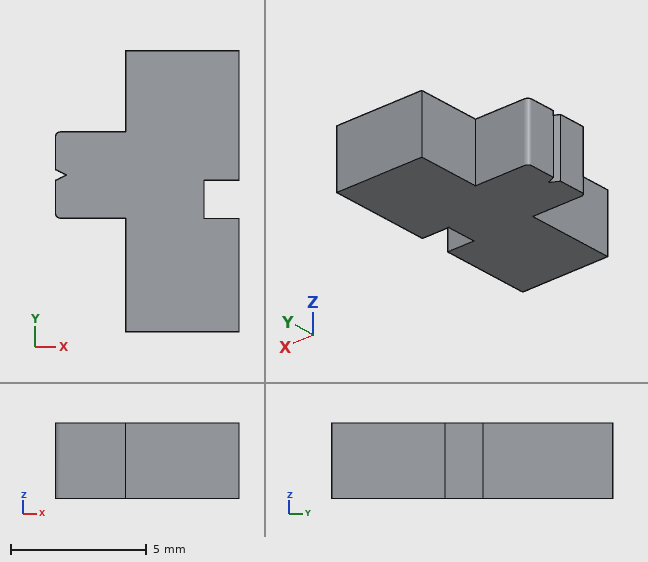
import cadquery as cq

thickness = 2.8
body_width = 4.2
body_length = 10.4

tongue_reach = 2.6
tongue_width = 3.2
tongue_start = 4.2
corner_radius = 0.2

notch_width = 0.4
notch_depth = 0.4

slot_width = 1.4
slot_depth = 1.3

tongue_tip = -tongue_reach
tongue_center = tongue_start + tongue_width / 2


def make_body():
    return cq.Workplane("XY").box(body_width, body_length, thickness, centered=False)


def make_tongue():
    tongue = (
        cq.Workplane("XY")
        .box(tongue_reach, tongue_width, thickness, centered=False)
        .translate((tongue_tip, tongue_start, 0))
    )
    return tongue.edges("|Z and <X").fillet(corner_radius)


def make_notch():
    return (
        cq.Workplane("XY")
        .moveTo(tongue_tip, tongue_center - notch_width / 2)
        .lineTo(tongue_tip + notch_depth, tongue_center)
        .lineTo(tongue_tip, tongue_center + notch_width / 2)
        .close()
        .extrude(thickness)
    )


def make_slot():
    return (
        cq.Workplane("XY")
        .box(slot_depth, slot_width, thickness, centered=False)
        .translate((body_width - slot_depth, tongue_start, 0))
    )


result = make_body().union(make_tongue()).cut(make_notch()).cut(make_slot())